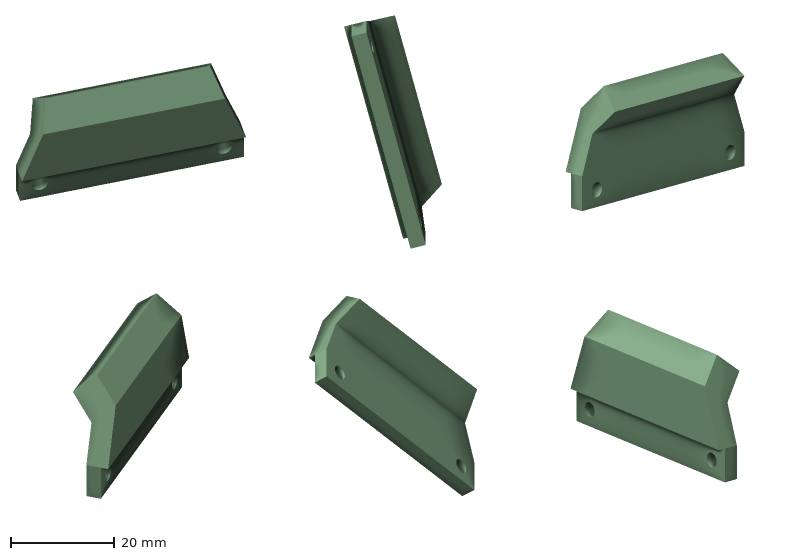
import cadquery as cq

length = 45.0
height = 24.0
overhang = 4.5
wall_thickness = 4.5
tab_thickness = 3.0
tab_height = 7.0
inner_bend_z = 15.0
outer_bend_z = 19.0
lip_tip_z = 20.0
top_length = 33.0
hole_diameter = 3.0
hole_edge_offset = 4.0
hole_z = 3.5


def make_bent_wall():
    """Bent cross-section in XZ, extruded over the full length."""
    profile = [
        (0, 0),
        (tab_thickness, 0),
        (tab_thickness, tab_height),
        (wall_thickness, tab_height),
        (wall_thickness, outer_bend_z),
        (0, height),
        (-overhang, lip_tip_z),
        (0, inner_bend_z),
    ]
    return cq.Workplane("XZ").polyline(profile).close().extrude(length / 2, both=True)


def make_end_outline():
    """Block with the tapered YZ outline, spanning the whole width in X."""
    outline = [
        (-length / 2, 0),
        (length / 2, 0),
        (length / 2, tab_height),
        (top_length / 2, height),
        (-top_length / 2, height),
        (-length / 2, tab_height),
    ]
    block = cq.Workplane("YZ").polyline(outline).close().extrude(overhang + wall_thickness)
    return block.translate((-overhang, 0, 0))


def make_holes():
    """Two mounting holes through the lower strip along X."""
    hole_y = length / 2 - hole_edge_offset
    centres = [(-hole_y, hole_z), (hole_y, hole_z)]
    return cq.Workplane("YZ").pushPoints(centres).circle(hole_diameter / 2).extrude(tab_thickness)


result = make_bent_wall().intersect(make_end_outline()).cut(make_holes())